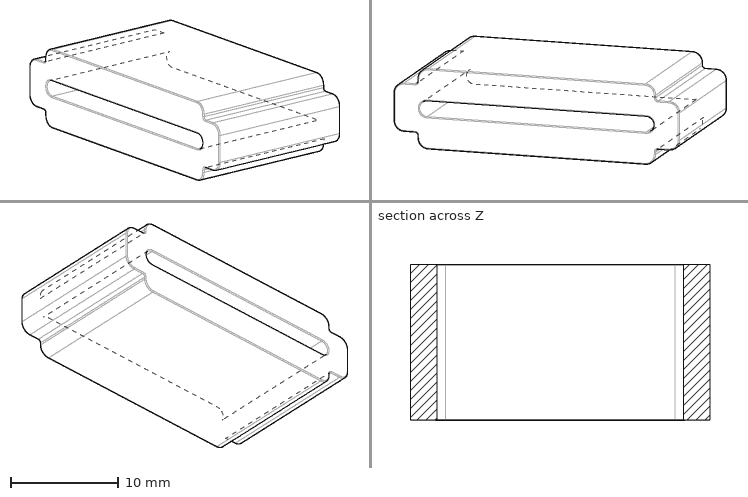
import cadquery as cq

length = 28.0
depth = 14.6
height = 7.7

body_length = 23.3
flange_height = 4.65
corner_radius = 1.0
inner_radius = 0.28

slot_length = 23.0
slot_height = 1.5

rim_radius = 0.1


def make_body():
    """Wide block with a shorter flange on each end, all lengthwise edges rounded."""
    centre = cq.Workplane("XY").box(body_length, depth, height)
    flanges = cq.Workplane("XY").box(length, depth, flange_height)
    body = centre.union(flanges)

    corner_margin = 0.28
    inside_corners = cq.selectors.BoxSelector(
        (-body_length / 2 - corner_margin, -depth, -flange_height / 2 - corner_margin),
        (body_length / 2 + corner_margin, depth, flange_height / 2 + corner_margin),
    )
    body = body.edges("|Y").edges(inside_corners).fillet(inner_radius)

    top_corners = body.faces(">Z or <Z").edges("|Y")
    end_corners = body.faces(">X or <X").edges("|Y")
    return top_corners.add(end_corners).fillet(corner_radius)


def make_slot():
    """Round-ended slot running through the full depth."""
    return (
        cq.Workplane("XZ")
        .slot2D(slot_length, slot_height)
        .extrude(depth / 2, both=True)
    )


result = make_body().cut(make_slot()).faces("<Y or >Y").edges().fillet(rim_radius)